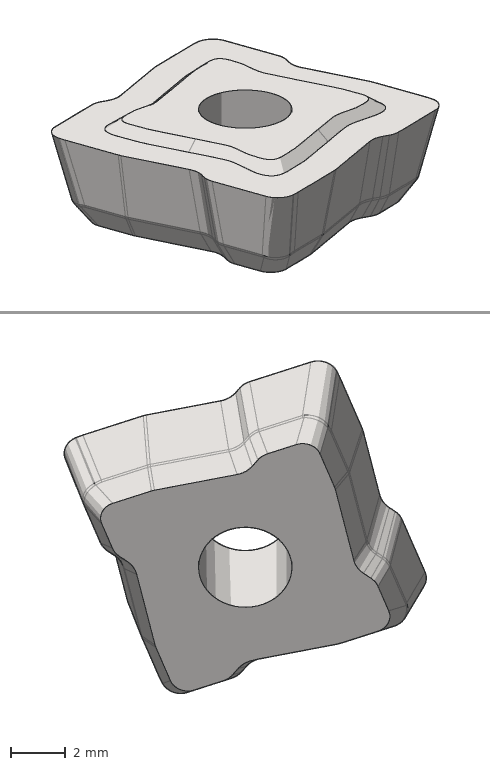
import cadquery as cq
import math

SIDES = 4

total_height = 4.0
body_height = 3.63
rim_height = 0.91

body_width = 10.6
half_width = body_width / 2
notch_half_length = 1.93
notch_slope = math.radians(8)
notch_ramp = math.radians(32)
bend_radius = 0.8
notch_radius = 0.95
facet_reach = 0.96
facet_length = 0.26
facet_angle = math.radians(3)
lead_in_angle = math.radians(7)

flank_angle = math.radians(11)
relief_angle = math.radians(30)
flank_corner_radius = 0.75
relief_corner_radius = 0.68
rim_blend_radius = 0.32
rim_search = 0.32

pad_bend = 1.91
pad_bend_radius = 1.06
pad_dip_radius = 1.7
pad_ramp = math.radians(15)
pad_top_wide = 3.48
pad_top_narrow = 3.28
pad_top_crest = 2.4
pad_top_corner_radius = 0.42
pad_base_wide = 3.92
pad_base_narrow = 3.8
pad_base_crest = 3.06
pad_base_corner_radius = 0.58

hole_diameter = 3.4


def dip_point(bend, wide, crest, narrow, ramp):
    """Meeting point of the gentle slope rising from the bend and the ramp falling to the crest."""
    rise = math.tan(notch_slope)
    fall = math.tan(ramp)
    x = (wide - narrow - rise * bend + fall * crest) / (rise + fall)
    return x, -wide + rise * (x + bend)


def ring(side):
    """Repeat the (x, y, radius) vertices of the -Y side around all four sides."""
    vertices = []
    for turn in range(SIDES):
        angle = 2 * math.pi * turn / SIDES
        c, s = math.cos(angle), math.sin(angle)
        vertices += [(c * x - s * y, s * x + c * y, r) for x, y, r in side]
    return vertices


def rounded_corners(vertices, z):
    """Start, middle and end of the tangent arc that rounds each vertex at height z."""
    corners = []
    for i, (x, y, radius) in enumerate(vertices):
        point = cq.Vector(x, y, z)
        back = (cq.Vector(*vertices[i - 1][:2], z) - point).normalized()
        ahead = (cq.Vector(*vertices[(i + 1) % len(vertices)][:2], z) - point).normalized()
        half_angle = back.getAngle(ahead) / 2
        tangent = radius / math.tan(half_angle)
        to_arc = radius / math.sin(half_angle) - radius
        middle = point + (back + ahead).normalized() * to_arc
        corners.append((point + back * tangent, middle, point + ahead * tangent))
    return corners


def rounded_wire(vertices, z):
    """Closed wire of straight lines and arcs; a vertex of zero radius stays sharp."""
    corners = rounded_corners(vertices, z)
    edges = []
    for i, (start, middle, end) in enumerate(corners):
        edges.append(cq.Edge.makeLine(corners[i - 1][2], start))
        if vertices[i][2] > 0:
            edges.append(cq.Edge.makeThreePointArc(start, middle, end))
    return cq.Wire.assembleEdges(edges)


def notch_vertices(inset):
    """Vertices of the notch along one side after its walls have moved inwards by the inset."""
    half = half_width - inset
    bend = notch_half_length + inset * math.tan(notch_slope / 2)
    crest = notch_half_length + inset * math.tan(notch_ramp / 2)
    dip_x, dip_y = dip_point(bend, half, crest, half, notch_ramp)
    return [
        (-bend, -half, bend_radius),
        (dip_x, dip_y, notch_radius),
        (crest, -half, bend_radius),
    ]


def flank_vertices(inset):
    """Side of the flank outline: a corner easing through a lead-in and a facet, then the notch."""
    half = half_width - inset
    lead_in_reach = facet_reach - facet_length
    facet_rise = facet_length * math.tan(facet_angle)
    corner_rise = facet_rise + lead_in_reach * math.tan(lead_in_angle)
    return [
        (-half, -half + corner_rise, flank_corner_radius),
        (lead_in_reach - half, -half + facet_rise, 0),
        (facet_reach - half, -half, 0),
    ] + notch_vertices(inset)


def relief_vertices(inset):
    """Side of the relief outline: a plain rounded corner, then the notch."""
    half = half_width - inset
    return [(-half, -half, relief_corner_radius)] + notch_vertices(inset)


def tapered_block(side_vertices, rim_inset, angle):
    """Block of body height whose walls lean by the angle and have the given inset at the rim."""
    bottom_inset = rim_inset + rim_height * math.tan(angle)
    top_inset = bottom_inset - body_height * math.tan(angle)
    bottom = rounded_wire(ring(side_vertices(bottom_inset)), 0)
    top = rounded_wire(ring(side_vertices(top_inset)), body_height)
    return cq.Workplane(cq.Solid.makeLoft([bottom, top], True))


rim_inset = (body_height - rim_height) * math.tan(flank_angle)
flank = tapered_block(flank_vertices, rim_inset, flank_angle)
relief = tapered_block(relief_vertices, rim_inset, relief_angle)
body = flank.intersect(relief)
rim_edges = cq.selectors.BoxSelector(
    (-half_width, -half_width, rim_height - rim_search),
    (half_width, half_width, rim_height + rim_search),
)
body = body.edges(rim_edges).fillet(rim_blend_radius)


def pad_wire(wide, narrow, crest, corner_radius, z):
    """Pad outline at height z, made of one smooth curve per corner."""
    dip_x, dip_y = dip_point(pad_bend, wide, crest, narrow, pad_ramp)
    side = [
        (-narrow, -wide, corner_radius),
        (-pad_bend, -wide, pad_bend_radius),
        (dip_x, dip_y, pad_dip_radius),
        (crest, -narrow, pad_bend_radius),
    ]
    corners = rounded_corners(ring(side), z)
    seam_y = -wide + pad_bend * math.tan(notch_slope)
    first_seam = cq.Vector(0, seam_y, z)
    last_seam = cq.Vector(-seam_y, 0, z)
    first_direction = cq.Vector(math.cos(notch_slope), math.sin(notch_slope))
    last_direction = cq.Vector(-math.sin(notch_slope), math.cos(notch_slope))
    dip, crest_arc, corner, bend = corners[2:6]
    mid_flat = (corner[2] + bend[0]) * 0.5
    curve_points = [first_seam, *dip, *crest_arc, *corner, mid_flat, *bend, last_seam]
    curve = cq.Edge.makeSpline(curve_points, tangents=[first_direction, last_direction])
    turns = [curve.rotate(cq.Vector(), cq.Vector(0, 0, 1), 360 / SIDES * i) for i in range(SIDES)]
    return cq.Wire.assembleEdges(turns)


pad_base = pad_wire(pad_base_wide, pad_base_narrow, pad_base_crest, pad_base_corner_radius, body_height)
pad_top = pad_wire(pad_top_wide, pad_top_narrow, pad_top_crest, pad_top_corner_radius, total_height)
pad = cq.Workplane(cq.Solid.makeLoft([pad_base, pad_top], True))

hole = cq.Workplane().circle(hole_diameter / 2).extrude(total_height)
result = body.union(pad).cut(hole)